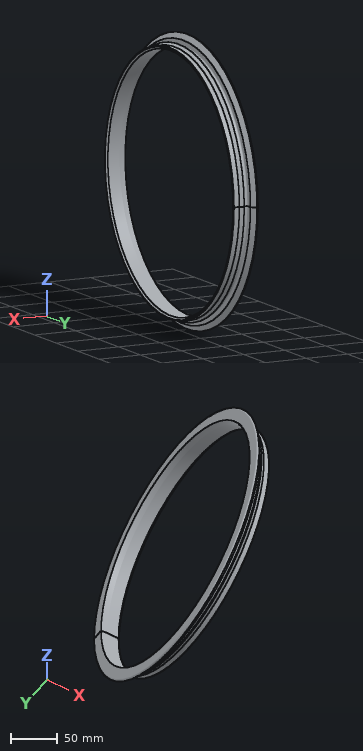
import cadquery as cq

LENGTH = 24.0
FLANGE_THICKNESS = 6.8
BARB_START = 12.5
BARB_END = 17.0
BORE_STEP = 7.5

FLANGE_RADIUS = 162.5
FLANGE_BACK_RADIUS = 156.0
BODY_RADIUS = 149.5
NECK_RADIUS = 149.2
BARB_RADIUS = 152.0
BORE_RADIUS = 146.0
MOUTH_RADIUS = 147.0

RIM_ROUND = 2.3
ROOT_FILLET = 1.5
END_CHAMFER = 0.5
BORE_CHAMFER = 2.3
SPLIT_WIDTH = 0.3


def ring():
    """Flanged sleeve with a barb outside, a tapered mouth and a chamfered bore end."""
    front = -LENGTH / 2
    back = LENGTH / 2
    flange_back = front + FLANGE_THICKNESS
    rim_mid = RIM_ROUND * (1 - 0.5**0.5)
    root_mid = ROOT_FILLET * (1 - 0.5**0.5)
    profile = (
        cq.Workplane("XY")
        .moveTo(front, MOUTH_RADIUS)
        .lineTo(front, FLANGE_RADIUS - RIM_ROUND)
        .threePointArc(
            (front + rim_mid, FLANGE_RADIUS - rim_mid),
            (front + RIM_ROUND, FLANGE_RADIUS),
        )
        .lineTo(flange_back, FLANGE_BACK_RADIUS)
        .lineTo(flange_back, NECK_RADIUS + ROOT_FILLET)
        .threePointArc(
            (flange_back + root_mid, NECK_RADIUS + root_mid),
            (flange_back + ROOT_FILLET, NECK_RADIUS),
        )
        .lineTo(front + BARB_START, NECK_RADIUS)
        .lineTo(front + BARB_START, BARB_RADIUS)
        .lineTo(front + BARB_END, BODY_RADIUS)
        .lineTo(back - END_CHAMFER, BODY_RADIUS)
        .lineTo(back, BODY_RADIUS - END_CHAMFER)
        .lineTo(back, BORE_RADIUS + BORE_CHAMFER)
        .lineTo(back - BORE_CHAMFER, BORE_RADIUS)
        .lineTo(front + BORE_STEP, BORE_RADIUS)
        .close()
    )
    return profile.revolve(360, (0, 0, 0), (1, 0, 0))


def split():
    """Narrow slit that opens the ring on its +Y side."""
    return cq.Workplane("XY").box(
        LENGTH, FLANGE_RADIUS, SPLIT_WIDTH, centered=(True, False, True)
    )


result = ring().cut(split())